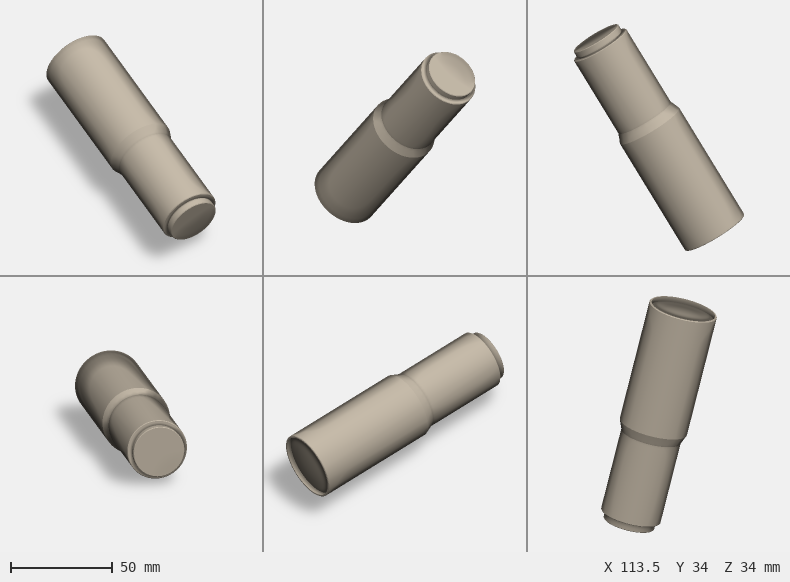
import cadquery as cq

total_length = 113.5
taper_start = 62.2
taper_end = 67.1
tail_length = 3.3
groove_width = 0.7
tail_start = total_length - tail_length
body_end = tail_start - groove_width

head_radius = 17.0
body_radius = 15.0
groove_radius = 12.25
tail_radius = 12.8

edge_chamfer = 0.3
recess_radius = 16.0
recess_depth = 2.5


def turned_body():
    """Stepped outside shape, revolved about the X axis."""
    profile = [
        (0, 0),
        (0, head_radius - edge_chamfer),
        (edge_chamfer, head_radius),
        (taper_start, head_radius),
        (taper_end, body_radius),
        (body_end - edge_chamfer, body_radius),
        (body_end, body_radius - edge_chamfer),
        (body_end, groove_radius),
        (tail_start, groove_radius),
        (tail_start, tail_radius),
        (total_length - edge_chamfer, tail_radius),
        (total_length, tail_radius - edge_chamfer),
        (total_length, 0),
    ]
    half_section = cq.Workplane("XZ").polyline(profile).close()
    return half_section.revolve(360, (0, 0, 0), (1, 0, 0))


def front_recess():
    """Shallow round pocket that leaves a thin rim around the front face."""
    return cq.Workplane("YZ").circle(recess_radius).extrude(recess_depth)


result = turned_body().cut(front_recess())